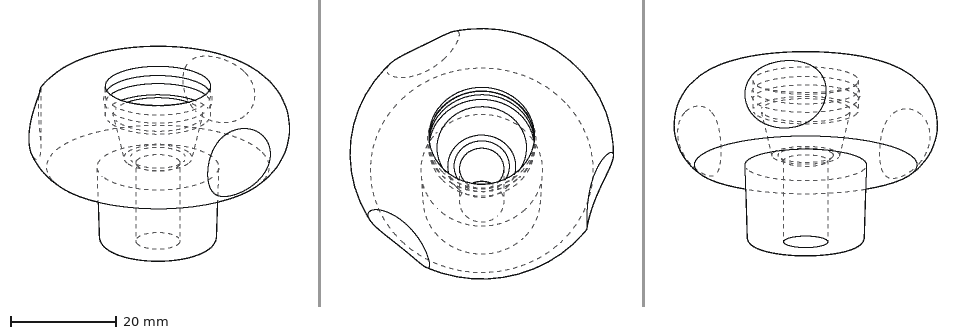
import cadquery as cq
import math

outer_radius = 25.0
rim_section_radius = 10.0
rim_center_radius = outer_radius - rim_section_radius
total_height = 33.0
rim_center_z = total_height - rim_section_radius
underside_z = 15.1

stem_top_radius = 11.55
stem_bottom_radius = 11.1
stem_edge_fillet = 0.9

cap_seat_radius = 10.0
cap_seat_z = 25.85
snap_groove_height = 1.65
snap_groove_depth = 0.3
snap_groove_z = 28.95
well_top_radius = 8.5
well_floor_radius = 6.45
well_floor_z = 17.0
hole_radius = 4.2
hole_chamfer = 1.05

scallop_radius = 25.0
scallop_depth = 2.5
scallop_angles = (90.0, -20.5, 202.5)


def rim_height_at(radius):
    """Z of the upper torus surface at a distance from the axis."""
    return rim_center_z + math.sqrt(rim_section_radius**2 - (radius - rim_center_radius) ** 2)


def make_body():
    """Revolve the rim and the stem, with the cap seat already open at the top."""
    underside_drop = rim_center_z - underside_z
    underside_radius = rim_center_radius + math.sqrt(rim_section_radius**2 - underside_drop**2)
    seat_mouth_z = rim_height_at(cap_seat_radius)
    rim = (
        cq.Workplane("XZ")
        .moveTo(0, underside_z)
        .lineTo(underside_radius, underside_z)
        .threePointArc((outer_radius, rim_center_z), (cap_seat_radius, seat_mouth_z))
        .lineTo(cap_seat_radius, cap_seat_z)
        .lineTo(0, cap_seat_z)
        .close()
        .revolve(360, (0, 0, 0), (0, 1, 0))
    )
    stem = (
        cq.Workplane("XZ")
        .polyline([(0, 0), (stem_bottom_radius, 0), (stem_top_radius, underside_z), (0, underside_z)])
        .close()
        .revolve(360, (0, 0, 0), (0, 1, 0))
        .faces("<Z")
        .edges()
        .fillet(stem_edge_fillet)
    )
    return rim.union(stem)


def make_snap_groove():
    """Shallow round groove in the wall of the cap seat."""
    half_height = snap_groove_height / 2
    section_radius = (half_height**2 + snap_groove_depth**2) / (2 * snap_groove_depth)
    section_center_radius = cap_seat_radius + snap_groove_depth - section_radius
    return cq.Workplane("XY").add(
        cq.Solid.makeTorus(section_center_radius, section_radius, cq.Vector(0, 0, snap_groove_z))
    )


def make_bore():
    """Conical well, then a chamfered through hole."""
    return (
        cq.Workplane("XZ")
        .polyline(
            [
                (0, 0),
                (hole_radius, 0),
                (hole_radius, well_floor_z - hole_chamfer),
                (hole_radius + hole_chamfer, well_floor_z),
                (well_floor_radius, well_floor_z),
                (well_top_radius, cap_seat_z),
                (0, cap_seat_z),
            ]
        )
        .close()
        .revolve(360, (0, 0, 0), (0, 1, 0))
    )


def make_scallop(angle):
    """Vertical cylinder that bites into the rim at the given angle about Z."""
    axis_distance = outer_radius - scallop_depth + scallop_radius
    return (
        cq.Workplane("XY")
        .center(axis_distance, 0)
        .circle(scallop_radius)
        .extrude(total_height)
        .rotate((0, 0, 0), (0, 0, 1), angle)
    )


result = make_body().cut(make_snap_groove()).cut(make_bore())
for scallop_angle in scallop_angles:
    result = result.cut(make_scallop(scallop_angle))